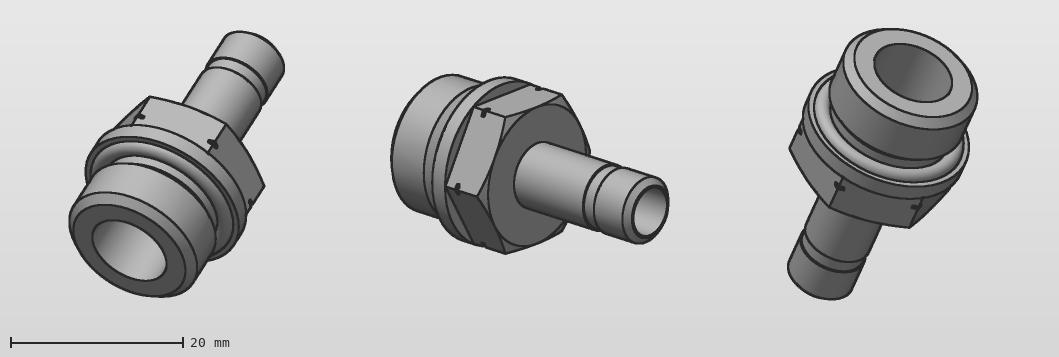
import cadquery as cq
import math

TOTAL_LENGTH = 33.92
THREAD_END = 6.0
FLANGE_START = 8.8
FLANGE_LENGTH = 2.0
HEX_START = FLANGE_START + FLANGE_LENGTH
HEX_LENGTH = 5.5
HEX_END = HEX_START + HEX_LENGTH

THREAD_RADIUS = 8.25
NECK_RADIUS = 7.22
THREAD_CHAMFER = THREAD_RADIUS - NECK_RADIUS
NECK_START = THREAD_END + THREAD_CHAMFER
FLANGE_RADIUS = 9.87

HEX_ACROSS_FLATS = 17.0
HEX_ACROSS_CORNERS = HEX_ACROSS_FLATS / math.cos(math.radians(30))
HEX_CHAMFER_LENGTH = 0.55
MARK_POSITION = 12.5
MARK_FLOOR_RADIUS = 9.45
MARK_FLOOR_WIDTH = 0.35
MARK_MOUTH_WIDTH = 0.5

STEM_RADIUS = 4.0
STEM_GROOVE_RADIUS = 3.83
STEM_GROOVE_START = 27.05
STEM_GROOVE_END = 28.73
TIP_RADIUS = 3.15
TIP_CHAMFER_LENGTH = 0.75

BORE_RADIUS = 4.78
STEM_BORE_RADIUS = 2.92
BORE_DEPTH = 12.0
BORE_CONE_HALF_ANGLE = 45
BORE_CONE_LENGTH = (BORE_RADIUS - STEM_BORE_RADIUS) / math.tan(math.radians(BORE_CONE_HALF_ANGLE))

SEAL_OUTER_RADIUS = 9.15
SEAL_SECTION_RADIUS = (SEAL_OUTER_RADIUS - NECK_RADIUS) / 2
SEAL_MEAN_RADIUS = NECK_RADIUS + SEAL_SECTION_RADIUS


def revolve_about_y(profile):
    """Revolve a closed XY profile, x being the radius, about the Y axis."""
    return profile.revolve(360, (0, 0, 0), (0, 1, 0))


def turned(points):
    """Turned solid from (radius, axial position) outline points."""
    return revolve_about_y(cq.Workplane("XY").polyline(points).close())


def make_seal():
    section = cq.Workplane("XY").center(SEAL_MEAN_RADIUS, FLANGE_START).circle(SEAL_SECTION_RADIUS)
    return section.revolve(360, (-SEAL_MEAN_RADIUS, 0, 0), (-SEAL_MEAN_RADIUS, 1, 0))


def make_threaded_end():
    return turned([
        (0, 0),
        (THREAD_RADIUS - THREAD_CHAMFER, 0),
        (THREAD_RADIUS, THREAD_CHAMFER),
        (THREAD_RADIUS, THREAD_END),
        (NECK_RADIUS, NECK_START),
        (NECK_RADIUS, FLANGE_START),
        (FLANGE_RADIUS, FLANGE_START),
        (FLANGE_RADIUS, HEX_START),
        (0, HEX_START),
    ])


def make_hexagon():
    prism = (
        cq.Workplane("XZ", origin=(0, HEX_START, 0))
        .polygon(6, HEX_ACROSS_CORNERS)
        .extrude(-HEX_LENGTH)
    )
    corner_radius = HEX_ACROSS_CORNERS / 2
    chamfer_envelope = turned([
        (0, HEX_START),
        (corner_radius, HEX_START),
        (corner_radius, HEX_END - HEX_CHAMFER_LENGTH),
        (HEX_ACROSS_FLATS / 2, HEX_END),
        (0, HEX_END),
    ])
    mark_groove = turned([
        (MARK_FLOOR_RADIUS, MARK_POSITION - MARK_FLOOR_WIDTH / 2),
        (corner_radius, MARK_POSITION - MARK_MOUTH_WIDTH / 2),
        (corner_radius, MARK_POSITION + MARK_MOUTH_WIDTH / 2),
        (MARK_FLOOR_RADIUS, MARK_POSITION + MARK_FLOOR_WIDTH / 2),
    ])
    return prism.intersect(chamfer_envelope).cut(mark_groove)


def make_stem():
    return turned([
        (0, HEX_END),
        (STEM_RADIUS, HEX_END),
        (STEM_RADIUS, STEM_GROOVE_START),
        (STEM_GROOVE_RADIUS, STEM_GROOVE_START),
        (STEM_GROOVE_RADIUS, STEM_GROOVE_END),
        (STEM_RADIUS, STEM_GROOVE_END),
        (STEM_RADIUS, TOTAL_LENGTH - TIP_CHAMFER_LENGTH),
        (TIP_RADIUS, TOTAL_LENGTH),
        (0, TOTAL_LENGTH),
    ])


def make_bore():
    return turned([
        (0, 0),
        (BORE_RADIUS, 0),
        (BORE_RADIUS, BORE_DEPTH),
        (STEM_BORE_RADIUS, BORE_DEPTH + BORE_CONE_LENGTH),
        (STEM_BORE_RADIUS, TOTAL_LENGTH),
        (0, TOTAL_LENGTH),
    ])


def make_fitting(seal):
    outside = make_threaded_end().union(make_hexagon()).union(make_stem())
    return outside.cut(make_bore()).cut(seal)


seal_ring = make_seal()
fitting = make_fitting(seal_ring)

result = cq.Compound.makeCompound([fitting.solids().val(), seal_ring.val()])